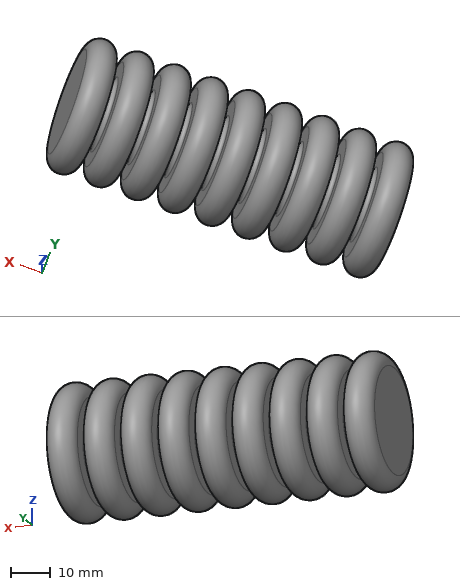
import cadquery as cq

length = 88
outer_diameter = 36.0
ring_count = 9
groove_width = 2.0
groove_root_diameter = 18.0

outer_radius = outer_diameter / 2
groove_root_radius = groove_root_diameter / 2
ring_width = (length - (ring_count - 1) * groove_width) / ring_count
ring_round = ring_width / 2
groove_round = groove_width / 2
pitch = ring_width + groove_width
face_radius = outer_radius - ring_round
wall_foot_radius = groove_root_radius + groove_round


def add_ring(profile, start):
    """Go over one full-round rim, from its left face to its right face."""
    return profile.lineTo(start, face_radius).threePointArc(
        (start + ring_round, outer_radius),
        (start + ring_width, face_radius),
    )


def add_groove(profile, start):
    """Go down a groove wall and around the full-round bottom."""
    return profile.lineTo(start, wall_foot_radius).threePointArc(
        (start + groove_round, groove_root_radius),
        (start + groove_width, wall_foot_radius),
    )


left_end = -length / 2
right_end = length / 2
profile = cq.Workplane("XY").moveTo(left_end, 0)
for index in range(ring_count):
    ring_start = left_end + index * pitch
    profile = add_ring(profile, ring_start)
    if index < ring_count - 1:
        profile = add_groove(profile, ring_start + ring_width)
profile = profile.lineTo(right_end, 0).close()

result = profile.revolve(360, (0, 0, 0), (1, 0, 0))